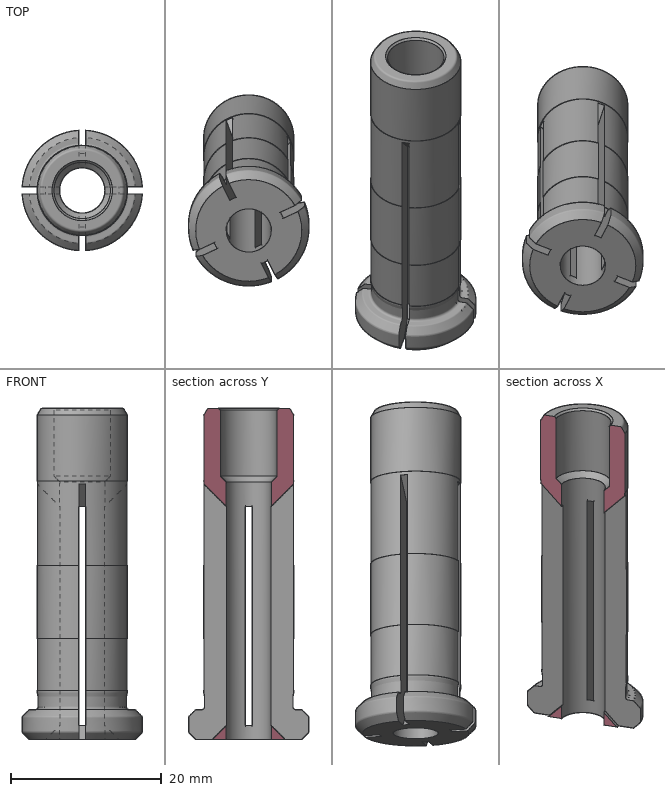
import cadquery as cq

length = 44.0
flange_radius = 16.0 / 2
land_radius = 12.0 / 2
relief_radius = 11.92 / 2
neck_radius = 5.9
bore_radius = 6.0 / 2
counterbore_radius = 7.5 / 2

flange_top = 4.0
neck_top = 5.7
band_bottom = 6.25
band_top = 6.5
middle_land_bottom = 13.4
middle_land_top = 23.1
upper_land_bottom = 34.35

flange_bevel = 0.95
flange_edge_rounding = 0.3
neck_rounding = 0.35
nose_bevel_height = 0.92
nose_bevel_width = 0.55
nose_rounding = 0.35
mouth_chamfer = 0.25

counterbore_depth = 9.0
bore_cone_height = counterbore_radius - bore_radius

slot_width = 0.92
slot_top = 33.92
slot_floor_height = 1.9


def revolved(points):
    """Solid of revolution about Z from (radius, height) points."""
    return cq.Workplane("XZ").polyline(points).close().revolve(360, (0, 0), (0, 1))


def edges_at(body, radius, height):
    """Select the circular edge of the given radius at the given height."""
    tolerance = 0.005
    reach = radius + tolerance
    box = cq.selectors.BoxSelector(
        (-reach, -reach, height - tolerance), (reach, reach, height + tolerance), boundingbox=True
    )
    inner = radius - tolerance
    core = cq.selectors.BoxSelector(
        (-inner, -inner, height - tolerance), (inner, inner, height + tolerance), boundingbox=True
    )
    return body.edges(box - core)


def make_body():
    rim_radius = flange_radius - flange_bevel
    nose_radius = land_radius - nose_bevel_width
    rim_top = flange_top - flange_bevel
    body = revolved([
        (0, 0),
        (rim_radius, 0),
        (flange_radius, flange_bevel),
        (flange_radius, rim_top),
        (rim_radius, flange_top),
        (neck_radius, flange_top),
        (neck_radius, neck_top),
        (land_radius, band_bottom),
        (land_radius, band_top),
        (relief_radius, band_top),
        (relief_radius, middle_land_bottom),
        (land_radius, middle_land_bottom),
        (land_radius, middle_land_top),
        (relief_radius, middle_land_top),
        (relief_radius, upper_land_bottom),
        (land_radius, upper_land_bottom),
        (land_radius, length - nose_bevel_height),
        (nose_radius, length),
        (0, length),
    ])
    for radius, height in ((flange_radius, flange_bevel), (flange_radius, rim_top), (rim_radius, flange_top)):
        body = edges_at(body, radius, height).fillet(flange_edge_rounding)
    body = edges_at(body, neck_radius, flange_top).fillet(neck_rounding)
    return edges_at(body, nose_radius, length).fillet(nose_rounding)


def make_bore():
    counterbore_bottom = length - counterbore_depth
    return revolved([
        (0, 0),
        (bore_radius, 0),
        (bore_radius, counterbore_bottom - bore_cone_height),
        (counterbore_radius, counterbore_bottom),
        (counterbore_radius, length - mouth_chamfer),
        (counterbore_radius + mouth_chamfer, length),
        (0, length),
    ])


def make_slot():
    """One radial slot on the +X side; its ends slope so it is shortest at the bore."""
    slot_floor_radius = bore_radius + slot_floor_height
    ceiling_drop = relief_radius - bore_radius
    outline = [
        (bore_radius, slot_floor_height),
        (slot_floor_radius, 0),
        (flange_radius, 0),
        (flange_radius, slot_top),
        (relief_radius, slot_top),
        (bore_radius, slot_top - ceiling_drop),
        (0, slot_top - ceiling_drop),
        (0, slot_floor_height),
    ]
    return cq.Workplane("XZ").polyline(outline).close().extrude(slot_width / 2, both=True)


result = make_body().cut(make_bore())
slot = make_slot()
for quarter in range(4):
    result = result.cut(slot.rotate((0, 0, 0), (0, 0, 1), 90 * quarter))